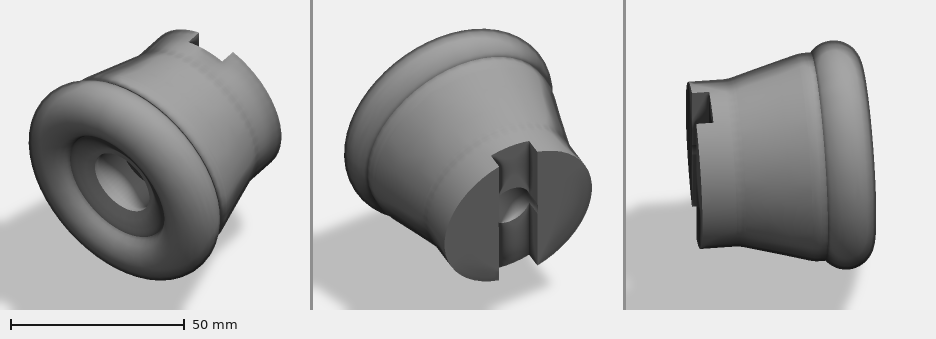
import cadquery as cq
import math

length = 50.0
outer_radius = 33.0
rim_radius = 8.0
collar_radius = 30.0
neck_radius = 24.1
collar_start = 14.4
taper_start = 17.4
taper_end = 38.75
blend_radius = 10.0

ledge_depth = 5.0
ledge_inner_radius = 15.2
ledge_inner_depth = 5.7
bore_radius = 10.0
bore_start = 7.0
bore_end = 19.0
through_radius = 6.55

slot_width = 12.5
slot_depth = 4.95

rim_center_radius = outer_radius - rim_radius
ledge_outer_radius = rim_center_radius - math.sqrt(rim_radius**2 - (rim_radius - ledge_depth) ** 2)
rim_back_radius = rim_center_radius + math.sqrt(rim_radius**2 - (collar_start - rim_radius) ** 2)
taper_angle = math.atan2(collar_radius - neck_radius, taper_end - taper_start)
blend_tangent = blend_radius * math.tan(taper_angle / 2)
tangent_along_y = blend_tangent * math.cos(taper_angle)
tangent_across = blend_tangent * math.sin(taper_angle)


def make_body():
    """Revolve the half profile, drawn as (Z, Y), around the Y axis."""
    profile = (
        cq.Workplane("ZY")
        .moveTo(through_radius, bore_end)
        .lineTo(bore_radius, bore_end)
        .lineTo(bore_radius, bore_start)
        .lineTo(ledge_inner_radius, ledge_inner_depth)
        .lineTo(ledge_outer_radius, ledge_depth)
        .threePointArc((outer_radius, rim_radius), (rim_back_radius, collar_start))
        .lineTo(collar_radius, collar_start)
        .lineTo(collar_radius, taper_start - blend_tangent)
        .tangentArcPoint(
            (collar_radius - tangent_across, taper_start + tangent_along_y), relative=False
        )
        .lineTo(neck_radius + tangent_across, taper_end - tangent_along_y)
        .tangentArcPoint((neck_radius, taper_end + blend_tangent), relative=False)
        .lineTo(neck_radius, length)
        .lineTo(through_radius, length)
        .close()
    )
    return profile.revolve(360, (0, 0, 0), (0, 1, 0))


def make_slot():
    """Straight slot cut across the full height of the back end."""
    return (
        cq.Workplane("XY")
        .box(slot_width, slot_depth, 2 * outer_radius)
        .translate((0, length - slot_depth / 2, 0))
    )


result = make_body().cut(make_slot())